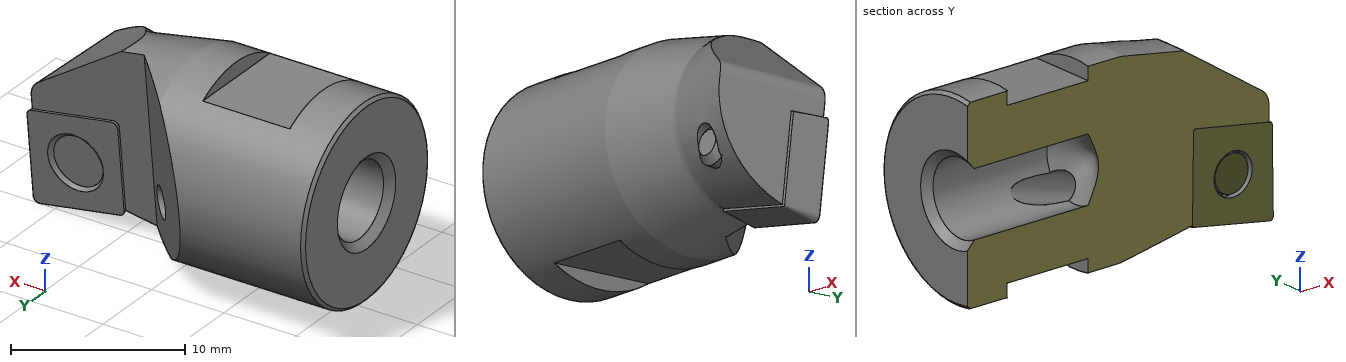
import cadquery as cq
import math


def tan(angle):
    return math.tan(math.radians(angle))


BODY_DIA = 13.0
BODY_R = BODY_DIA / 2
BACK_CHAMFER = 0.2
CYLINDER_LENGTH = 11.45
WAIST_X = 16.72
CONE_ANGLE = 10
WAIST_R = BODY_R - (WAIST_X - CYLINDER_LENGTH) * tan(CONE_ANGLE)
WAIST_FILLET = 1.0

FLAT_START = 3.0
FLAT_LENGTH = 6.0
ACROSS_FLATS = 11.0

BORE_DIA = 5.0
BORE_COUNTERSINK_DIA = 6.0
BORE_DEPTH = 9.0
DRILL_POINT_ANGLE = 118
COOLANT_DIA = 2.05
COOLANT_START = (5.75, 1.08, -0.92)
COOLANT_DIRECTION = (1, 0.1, -0.3)
COOLANT_LENGTH = 11.5

RAKE_TILT = 6.5
FRAME = cq.Plane(
    origin=(0, 0, 0),
    xDir=(1, 0, 0),
    normal=(0, math.cos(math.radians(RAKE_TILT)), -math.sin(math.radians(RAKE_TILT))),
)

TOTAL_LENGTH = 23.0
RELIEF_ANGLE = 7
NOSE_ANGLE = 80
NOSE_R = 0.4
INSCRIBED_R = 3.17
INSERT_THICKNESS = 2.37
RAKE_HEIGHT = 0.78
SEAT_HEIGHT = RAKE_HEIGHT - INSERT_THICKNESS
INSERT_X = TOTAL_LENGTH - INSCRIBED_R
INSERT_DROP = 3.13
INSERT_HOLE_DIA = 2.8
INSERT_COUNTERSINK_DIA = 3.85
COUNTERSINK_HALF_ANGLE = 30

SCREW_HEAD_DIA = 3.4
SCREW_THREAD_DIA = 2.5
SCREW_TIP_DIA = 1.56
SCREW_TIP_CHAMFER = (SCREW_THREAD_DIA - SCREW_TIP_DIA) / 2
SCREW_TIP_HEIGHT = -5.3
SCREW_SHIFT = (-0.12, -0.07)
SCREW_SLACK = 0.14
TAPPED_HOLE_DIA = 2.05

FLUTE_FLOOR_HEIGHT = 0.58
FLUTE_FLOOR_START = 14.54
FLUTE_RAMP_ANGLE = 45
FRONT_X = 22.75
SLOPE_ANGLE = 33.9
SLOPE_X = 15.8
SLOPE_Z = 5.77
NOSE_FILLET = 1.25
EDGE_SEARCH = 2.07

REACH = 2 * BODY_DIA


def countersink_depth(dia):
    """Depth below the rake face at which the insert's countersink has this diameter."""
    return (INSERT_COUNTERSINK_DIA - dia) / 2 / tan(COUNTERSINK_HALF_ANGLE)


def place_at_insert(solid, shift=(0, 0)):
    """Move a shape from the origin to the insert's axis, plus any shift, in the cutting frame."""
    spot = cq.Location(cq.Vector(INSERT_X + shift[0], INSERT_DROP + shift[1], 0))
    return solid.val().moved(cq.Location(FRAME) * spot)


def revolve_about_z(points):
    return cq.Workplane("XZ").polyline(points).close().revolve(360, (0, 0), (0, 1))


def make_insert_blank():
    side = 2 * INSCRIBED_R / math.sin(math.radians(NOSE_ANGLE))
    lean = 90 - NOSE_ANGLE
    half_run = side * math.cos(math.radians(lean)) / 2
    rise = side * math.sin(math.radians(lean)) / 2
    corners = [
        (half_run, side / 2 + rise),
        (half_run, rise - side / 2),
        (-half_run, -side / 2 - rise),
        (-half_run, side / 2 - rise),
    ]
    outline = cq.Sketch().polygon(corners + corners[:1]).vertices().fillet(NOSE_R)
    blank = (
        cq.Workplane("XY").workplane(offset=RAKE_HEIGHT)
        .placeSketch(outline).extrude(-INSERT_THICKNESS, taper=RELIEF_ANGLE)
    )
    return cq.Workplane(place_at_insert(blank))


def make_insert_hole():
    hole_r = INSERT_HOLE_DIA / 2
    throat = RAKE_HEIGHT - countersink_depth(INSERT_HOLE_DIA)
    cutter = revolve_about_z([
        (0, RAKE_HEIGHT),
        (INSERT_COUNTERSINK_DIA / 2, RAKE_HEIGHT),
        (hole_r, throat),
        (hole_r, SEAT_HEIGHT),
        (0, SEAT_HEIGHT),
    ])
    return cq.Workplane(place_at_insert(cutter))


def make_screw():
    head_top = RAKE_HEIGHT - countersink_depth(SCREW_HEAD_DIA + 2 * SCREW_SLACK)
    head_bottom = RAKE_HEIGHT - countersink_depth(SCREW_THREAD_DIA + 2 * SCREW_SLACK)
    thread_r = SCREW_THREAD_DIA / 2
    screw = revolve_about_z([
        (0, head_top),
        (SCREW_HEAD_DIA / 2, head_top),
        (thread_r, head_bottom),
        (thread_r, SCREW_TIP_HEIGHT + SCREW_TIP_CHAMFER),
        (SCREW_TIP_DIA / 2, SCREW_TIP_HEIGHT),
        (0, SCREW_TIP_HEIGHT),
    ])
    return cq.Workplane(place_at_insert(screw, SCREW_SHIFT))


def make_tapped_hole():
    """Cutter for the hole that runs from the insert's seat out through the holder."""
    hole = (
        cq.Workplane("XY").workplane(offset=SEAT_HEIGHT)
        .circle(TAPPED_HOLE_DIA / 2).extrude(-BODY_DIA)
    )
    return cq.Workplane(place_at_insert(hole, SCREW_SHIFT))


def make_turned_blank():
    nose_r = WAIST_R + (TOTAL_LENGTH - WAIST_X) * tan(CONE_ANGLE)
    half_arc = WAIST_FILLET * math.sin(math.radians(CONE_ANGLE))
    arc_end_r = WAIST_R + half_arc * tan(CONE_ANGLE)
    arc_mid_r = arc_end_r - WAIST_FILLET * (1 - math.cos(math.radians(CONE_ANGLE)))
    return (
        cq.Workplane("XY")
        .moveTo(0, 0)
        .lineTo(0, BODY_R - BACK_CHAMFER)
        .lineTo(BACK_CHAMFER, BODY_R)
        .lineTo(CYLINDER_LENGTH, BODY_R)
        .lineTo(WAIST_X - half_arc, arc_end_r)
        .threePointArc((WAIST_X, arc_mid_r), (WAIST_X + half_arc, arc_end_r))
        .lineTo(TOTAL_LENGTH, nose_r)
        .lineTo(TOTAL_LENGTH, 0)
        .close()
        .revolve(360, (0, 0), (1, 0))
    )


def shape_nose(holder):
    """Cut the leaning front face and the slope above it, and round the edge between them."""
    front = side_profile_cut([
        (FRONT_X + (REACH - FLUTE_FLOOR_HEIGHT) * tan(RELIEF_ANGLE), REACH),
        (FRONT_X - (REACH + FLUTE_FLOOR_HEIGHT) * tan(RELIEF_ANGLE), -REACH),
        (2 * REACH, -REACH),
        (2 * REACH, REACH),
    ])
    slope_rise = REACH * tan(SLOPE_ANGLE)
    slope = (
        cq.Workplane("XZ")
        .polyline([
            (SLOPE_X - REACH, SLOPE_Z + slope_rise),
            (SLOPE_X + REACH, SLOPE_Z - slope_rise),
            (SLOPE_X + REACH, SLOPE_Z + slope_rise),
        ])
        .close().extrude(REACH, both=True)
    )
    edge_z = SLOPE_Z - (FRONT_X - SLOPE_X) * tan(SLOPE_ANGLE)
    edge_finder = cq.selectors.BoxSelector(
        (FRONT_X - EDGE_SEARCH, -EDGE_SEARCH, edge_z - EDGE_SEARCH),
        (FRONT_X + EDGE_SEARCH, EDGE_SEARCH, edge_z + EDGE_SEARCH))
    return holder.cut(front).cut(slope).edges(edge_finder).fillet(NOSE_FILLET)


def side_profile_cut(points):
    """Prism through the whole part, from (x, height) points in the cutting frame."""
    prism = cq.Workplane("XZ").polyline(points).close().extrude(REACH, both=True)
    return cq.Workplane(prism.val().moved(cq.Location(FRAME)))


def make_flute():
    ramp_run = REACH / tan(FLUTE_RAMP_ANGLE)
    return side_profile_cut([
        (FLUTE_FLOOR_START, FLUTE_FLOOR_HEIGHT),
        (FLUTE_FLOOR_START - ramp_run, FLUTE_FLOOR_HEIGHT + REACH),
        (2 * REACH, FLUTE_FLOOR_HEIGHT + REACH),
        (2 * REACH, FLUTE_FLOOR_HEIGHT),
    ])


def make_bore():
    bore_r = BORE_DIA / 2
    countersink_r = BORE_COUNTERSINK_DIA / 2
    return (
        cq.Workplane("XY")
        .polyline([
            (0, 0),
            (0, countersink_r),
            (countersink_r - bore_r, bore_r),
            (BORE_DEPTH, bore_r),
            (BORE_DEPTH + bore_r / tan(DRILL_POINT_ANGLE / 2), 0),
        ])
        .close().revolve(360, (0, 0), (1, 0))
    )


def cut_flats(holder):
    for side in (1, -1):
        block = cq.Workplane("XY").box(FLAT_LENGTH, REACH, BODY_R).translate(
            (FLAT_START + FLAT_LENGTH / 2, 0, side * (ACROSS_FLATS + BODY_R) / 2))
        holder = holder.cut(block)
    return holder


def make_holder():
    holder = shape_nose(make_turned_blank())
    holder = holder.cut(make_flute())
    holder = cut_flats(holder)
    holder = holder.cut(make_bore())
    coolant = cq.Solid.makeCylinder(
        COOLANT_DIA / 2, COOLANT_LENGTH, cq.Vector(*COOLANT_START), cq.Vector(*COOLANT_DIRECTION))
    holder = holder.cut(cq.Workplane(coolant))
    holder = holder.cut(make_insert_blank())
    return holder.cut(make_tapped_hole()).cut(make_screw())


holder = make_holder()
insert = make_insert_blank().cut(make_insert_hole())
screw = make_screw()
result = cq.Compound.makeCompound([holder.solids().val(), insert.solids().val(), screw.val()])